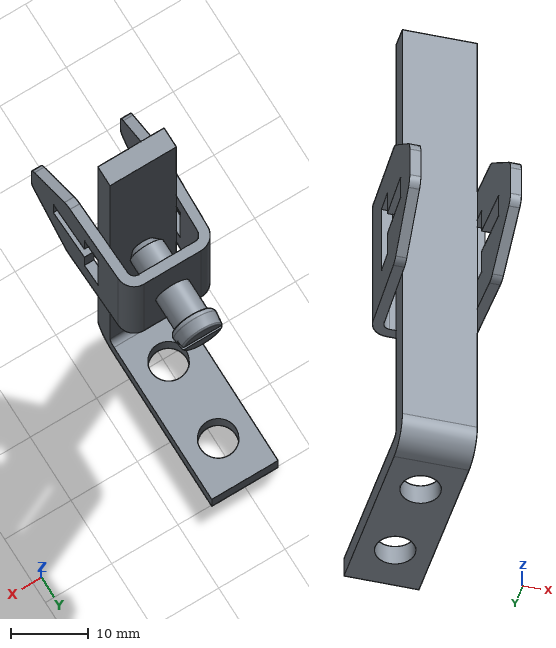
import cadquery as cq
import math


BAR_WIDTH = 10.0
BAR_THICKNESS = 3.0
BRACKET_HEIGHT = 70.0
FOOT_LENGTH = 28.0
BAR_BEND_INNER = 1.0
BAR_BEND_OUTER = BAR_BEND_INNER + BAR_THICKNESS
FOOT_HOLE_DIAMETER = 5.3
FOOT_HOLE_END_DISTANCE = 6.6
FOOT_HOLE_PITCH = 12.2
FOOT_HOLE_COUNT = 2

CLIP_CENTER_Z = 36.1
CLIP_HEIGHT = 20.0
CLIP_FRONT_WIDTH = 14.9
CLIP_FRONT_Y = -12.3
CLIP_BACK_Y = 10.2
SHEET = 1.5
CLIP_BEND_INNER = 1.0
CLIP_BEND_OUTER = CLIP_BEND_INNER + SHEET
LEG_FLARE = math.tan(math.radians(2.0))
NOSE_HEIGHT = 6.3
LEG_TAPER_Y = -4.05
LEG_CORNER_RADIUS = 2.0
WALL_FRONT_Y = CLIP_BACK_Y - SHEET

WINDOW_HEIGHT = 10.5
WINDOW_WIDTH = 3.2
SLOT_HEIGHT = 3.5
SLOT_END_Y = -7.2

COLLAR_RADIUS = 3.15
COLLAR_LENGTH = 1.5
COLLAR_ROOT_RADIUS = 0.55

SHANK_RADIUS = 2.5
SCREW_END_Y = 17.65
TIP_RADIUS = 1.6
TIP_LENGTH = 0.9
HEAD_HEIGHT = 2.65
HEAD_END_RADIUS = 3.0
HEAD_BASE_RADIUS = 3.35
HEAD_EDGE_RADIUS = 0.3
HEAD_BASE_EDGE_RADIUS = 0.7
DRIVE_SLOT_WIDTH = 1.0
DRIVE_SLOT_DEPTH = 1.1


def side_plane(half_width):
    """Sketch plane with local axes Y and Z, placed at the low-X end of a centred width."""
    return cq.Workplane("YZ", origin=(-half_width, 0, 0))


def make_bracket():
    outline = (
        side_plane(BAR_WIDTH / 2)
        .moveTo(0, BRACKET_HEIGHT)
        .lineTo(0, 0)
        .lineTo(FOOT_LENGTH, 0)
        .lineTo(FOOT_LENGTH, BAR_THICKNESS)
        .lineTo(BAR_THICKNESS, BAR_THICKNESS)
        .lineTo(BAR_THICKNESS, BRACKET_HEIGHT)
        .close()
        .extrude(BAR_WIDTH)
    )
    bent = outline.edges(cq.NearestToPointSelector((0, 0, 0))).fillet(BAR_BEND_OUTER)
    inner_corner = (0, BAR_THICKNESS, BAR_THICKNESS)
    bent = bent.edges(cq.NearestToPointSelector(inner_corner)).fillet(BAR_BEND_INNER)

    first_hole_y = FOOT_LENGTH - FOOT_HOLE_END_DISTANCE
    for index in range(FOOT_HOLE_COUNT):
        hole = (
            cq.Workplane("XY")
            .center(0, first_hole_y - index * FOOT_HOLE_PITCH)
            .circle(FOOT_HOLE_DIAMETER / 2)
            .extrude(BAR_THICKNESS)
        )
        bent = bent.cut(hole)
    return bent


def flared_block(inset, bend_radius):
    """Full-height block inside the clip's outer surface, set in from the legs and the back wall."""
    back_y = CLIP_BACK_Y - inset
    front_half = CLIP_FRONT_WIDTH / 2 - inset / math.cos(math.atan(LEG_FLARE))
    back_half = front_half - LEG_FLARE * (back_y - CLIP_FRONT_Y)
    return (
        cq.Workplane("XY", origin=(0, 0, CLIP_CENTER_Z - CLIP_HEIGHT / 2))
        .polyline([
            (-front_half, CLIP_FRONT_Y),
            (front_half, CLIP_FRONT_Y),
            (back_half, back_y),
            (-back_half, back_y),
        ])
        .close()
        .extrude(CLIP_HEIGHT)
        .edges("|Z and >Y")
        .fillet(bend_radius)
    )


def leg_silhouette():
    """Side outline of the clip, tapering to a blunt nose with rounded corners."""
    half_height = CLIP_HEIGHT / 2
    half_nose = NOSE_HEIGHT / 2
    blank = (
        side_plane(CLIP_FRONT_WIDTH / 2)
        .center(0, CLIP_CENTER_Z)
        .polyline([
            (CLIP_BACK_Y, half_height),
            (LEG_TAPER_Y, half_height),
            (CLIP_FRONT_Y, half_nose),
            (CLIP_FRONT_Y, -half_nose),
            (LEG_TAPER_Y, -half_height),
            (CLIP_BACK_Y, -half_height),
        ])
        .close()
        .extrude(CLIP_FRONT_WIDTH)
    )
    return blank.edges("|X").edges("not(>Y)").fillet(LEG_CORNER_RADIUS)


def leg_window():
    """T-shaped cutter: an upright window with a slot running forward from it."""
    window = (
        side_plane(CLIP_FRONT_WIDTH / 2)
        .center(WINDOW_WIDTH / 2, CLIP_CENTER_Z)
        .rect(WINDOW_WIDTH, WINDOW_HEIGHT)
        .extrude(CLIP_FRONT_WIDTH)
    )
    slot = (
        side_plane(CLIP_FRONT_WIDTH / 2)
        .center(SLOT_END_Y / 2, CLIP_CENTER_Z)
        .rect(-SLOT_END_Y, SLOT_HEIGHT)
        .extrude(CLIP_FRONT_WIDTH)
    )
    return window.union(slot)


def revolve_about_screw_axis(half_profile):
    """Revolve a closed half profile, drawn as (radius, Y) on the screw's mid-plane."""
    return half_profile.close().revolve(360, (0, 0, 0), (0, 1, 0))


def screw_plane():
    return cq.Workplane("XY", origin=(0, 0, CLIP_CENTER_Z))


def make_clip():
    bent_sheet = flared_block(0, CLIP_BEND_OUTER).cut(flared_block(SHEET, CLIP_BEND_INNER))
    shaped = bent_sheet.intersect(leg_silhouette()).cut(leg_window())

    collar_end_y = WALL_FRONT_Y - COLLAR_LENGTH
    collar = revolve_about_screw_axis(
        screw_plane()
        .moveTo(0, collar_end_y)
        .lineTo(COLLAR_RADIUS, collar_end_y)
        .lineTo(COLLAR_RADIUS, WALL_FRONT_Y - COLLAR_ROOT_RADIUS)
        .radiusArc((COLLAR_RADIUS + COLLAR_ROOT_RADIUS, WALL_FRONT_Y), COLLAR_ROOT_RADIUS)
        .lineTo(0, WALL_FRONT_Y)
    )
    bore = revolve_about_screw_axis(
        screw_plane()
        .moveTo(0, collar_end_y)
        .lineTo(SHANK_RADIUS, collar_end_y)
        .lineTo(SHANK_RADIUS, CLIP_BACK_Y)
        .lineTo(0, CLIP_BACK_Y)
    )
    return shaped.union(collar).cut(bore)


def make_screw():
    tip_y = BAR_THICKNESS
    head_y = SCREW_END_Y - HEAD_HEIGHT
    body = revolve_about_screw_axis(
        screw_plane()
        .moveTo(0, tip_y)
        .lineTo(TIP_RADIUS, tip_y)
        .lineTo(SHANK_RADIUS, tip_y + TIP_LENGTH)
        .lineTo(SHANK_RADIUS, head_y)
        .lineTo(HEAD_BASE_RADIUS, head_y)
        .lineTo(HEAD_END_RADIUS, SCREW_END_Y)
        .lineTo(0, SCREW_END_Y)
    )
    body = body.faces(">Y").edges().fillet(HEAD_EDGE_RADIUS)
    widest_rim = body.edges("%CIRCLE").edges(cq.selectors.RadiusNthSelector(-1))
    body = widest_rim.fillet(HEAD_BASE_EDGE_RADIUS)
    drive_slot = (
        side_plane(HEAD_BASE_RADIUS)
        .center(SCREW_END_Y - DRIVE_SLOT_DEPTH / 2, CLIP_CENTER_Z)
        .rect(DRIVE_SLOT_DEPTH, DRIVE_SLOT_WIDTH)
        .extrude(2 * HEAD_BASE_RADIUS)
    )
    return body.cut(drive_slot)


bracket = make_bracket()
clip = make_clip()
screw = make_screw()

result = cq.Compound.makeCompound([bracket.val(), clip.val(), screw.val()])